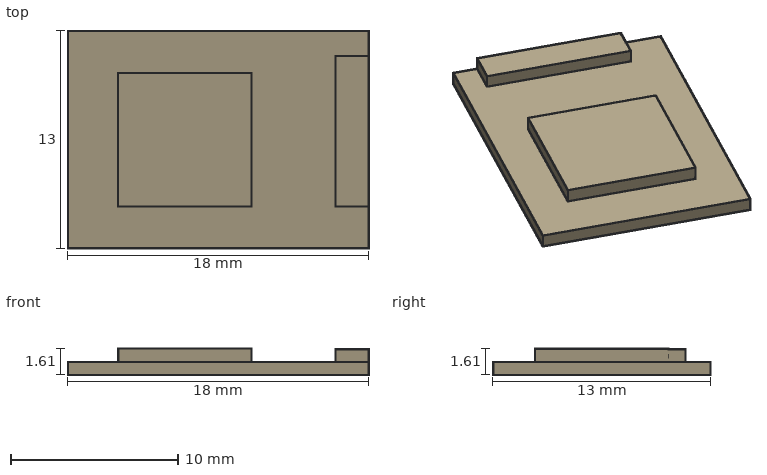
import cadquery as cq

board_length = 18.0
board_width = 13.0
board_thickness = 0.8

chip_side = 8.0
chip_height = 0.81
chip_left_margin = 3.0

connector_length = 2.0
connector_width = 9.0
connector_height = 0.75


def block(length, width, height, x, y, z):
    """Rectangular block whose lowest corner is at (x, y, z)."""
    return cq.Workplane("XY").box(length, width, height, centered=False).translate((x, y, z))


board = block(board_length, board_width, board_thickness, 0, 0, 0)

chip_front_margin = (board_width - chip_side) / 2
chip = block(
    chip_side, chip_side, chip_height,
    chip_left_margin, chip_front_margin, board_thickness,
)

connector = block(
    connector_length, connector_width, connector_height,
    board_length - connector_length, chip_front_margin, board_thickness,
)

result = cq.Compound.makeCompound([board.val(), chip.val(), connector.val()])